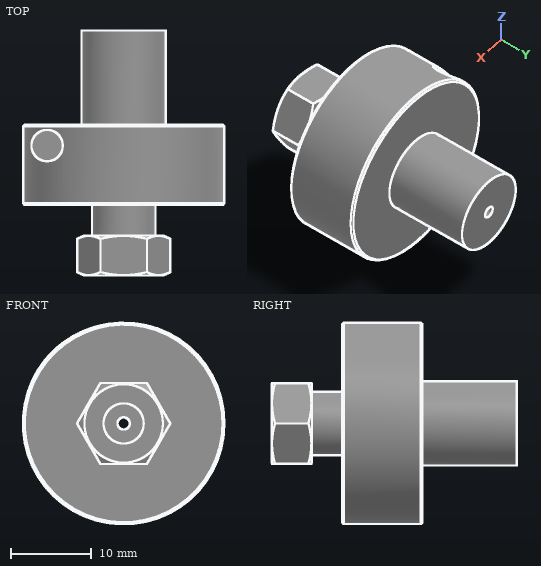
import cadquery as cq
import math


overall_length = 30.4
head_length = 5.0
neck_length = 3.75
disc_length = 10.0
neck_start = head_length
disc_start = neck_start + neck_length
spigot_start = disc_start + disc_length
spigot_length = overall_length - spigot_start

head_across_flats = 10.0
head_across_corners = head_across_flats / math.cos(math.radians(30))
head_face_diameter = 9.73
corner_bevel_length = 0.43

neck_diameter = 7.9
disc_diameter = 25.0
disc_chamfer = 0.25
spigot_diameter = 10.5

socket_diameter = 5.0
socket_depth = head_length
bore_diameter = 1.5

pocket_diameter = 3.9
pocket_x = -9.5
pocket_y = spigot_start - 2.6
pocket_floor_z = 4.8


def plane_at(y):
    """Plane across the axis at y, with its normal pointing backwards."""
    return cq.Workplane(cq.Plane(origin=(0, y, 0), xDir=(1, 0, 0), normal=(0, 1, 0)))


def cylinder(start, length, diameter):
    return plane_at(start).circle(diameter / 2).extrude(length)


def hexagon_head():
    """Hexagon with flats above and below, its corners bevelled by a cone at both ends."""
    prism = plane_at(0).polygon(6, head_across_corners).extrude(head_length)
    face_radius = head_face_diameter / 2
    corner_radius = head_across_corners / 2
    bevel_envelope = (
        cq.Workplane("XY")
        .moveTo(0, 0)
        .lineTo(face_radius, 0)
        .lineTo(corner_radius, corner_bevel_length)
        .lineTo(corner_radius, head_length - corner_bevel_length)
        .lineTo(face_radius, head_length)
        .lineTo(0, head_length)
        .close()
        .revolve(360, (0, 0, 0), (0, 1, 0))
    )
    return prism.intersect(bevel_envelope)


def chamfered_disc():
    disc = cylinder(disc_start, disc_length, disc_diameter)
    return disc.faces("<Y or >Y").edges().chamfer(disc_chamfer)


def rim_pocket():
    return (
        cq.Workplane("XY", origin=(pocket_x, pocket_y, pocket_floor_z))
        .circle(pocket_diameter / 2)
        .extrude(disc_diameter / 2)
    )


neck = cylinder(neck_start, neck_length, neck_diameter)
spigot = cylinder(spigot_start, spigot_length, spigot_diameter)
socket = cylinder(0, socket_depth, socket_diameter)
bore = cylinder(0, overall_length, bore_diameter)

body = hexagon_head().union(neck).union(chamfered_disc()).union(spigot)
result = body.cut(socket).cut(bore).cut(rim_pocket())